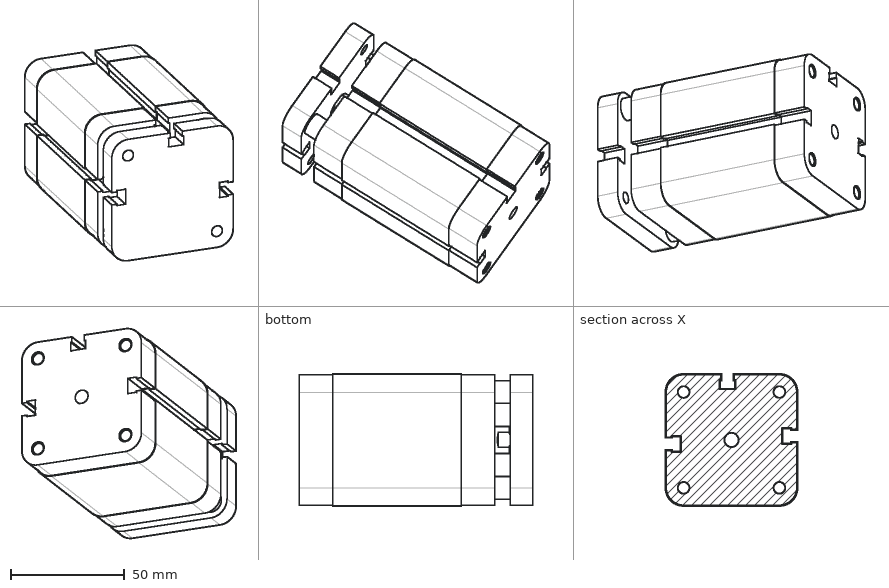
import cadquery as cq

total_length = 102.5
cap_length = 14.8
barrel_length = 56.4
plate_thickness = 9.9
housing_length = 2 * cap_length + barrel_length
plate_start = total_length - plate_thickness

barrel_width = 58.0
cap_inset = 0.3
hole_pitch = 42.0
corner_radius = (barrel_width - hole_pitch) / 2

slot_offset = 1.7
slot_mouth_width = 5.2
slot_inner_width = 6.5
slot_lip_depth = 3.1
slot_depth = 6.5
slot_overshoot = 1.0
slot_sides = (0, 90, 180)

screw_hole_diameter = 5.0
screw_hole_chamfer = 0.5
centre_hole_diameter = 6.2
centre_hole_depth = cap_length

rod_seat_depth = cap_length
rod_start = housing_length - rod_seat_depth
rod_length = plate_start - rod_start
guide_rod_diameter = 10.0
piston_rod_diameter = 12.0
piston_rod_chamfer = 0.5
flat_width = 10.0
flat_length = 5.1
flat_runout = 0.5

half_pitch = hole_pitch / 2
guide_rod_places = [(half_pitch, half_pitch), (-half_pitch, -half_pitch)]
open_hole_places = [(-half_pitch, half_pitch), (half_pitch, -half_pitch)]
screw_hole_places = guide_rod_places + open_hole_places


def section_plane(x):
    """Plane across the part at x, with local axes along Y and Z."""
    return cq.Workplane("YZ", origin=(x, 0, 0))


def cylinders(x, length, diameter, places):
    return section_plane(x).pushPoints(places).circle(diameter / 2).extrude(length)


def profile(x, length, inset):
    """Rounded square bar with three T-slots, every face set in by the inset."""
    half_width = barrel_width / 2 - inset
    bar = section_plane(x).rect(2 * half_width, 2 * half_width).extrude(length)
    bar = bar.edges("|X").fillet(corner_radius - inset)

    mouth_half = slot_mouth_width / 2 + inset
    inner_half = slot_inner_width / 2 + inset
    floor = barrel_width / 2 - slot_depth - inset
    lip = barrel_width / 2 - slot_lip_depth + inset
    outside = barrel_width / 2 + slot_overshoot
    slot = (
        section_plane(x)
        .moveTo(floor, -slot_offset - inner_half)
        .lineTo(lip, -slot_offset - inner_half)
        .lineTo(lip, -slot_offset - mouth_half)
        .lineTo(outside, -slot_offset - mouth_half)
        .lineTo(outside, -slot_offset + mouth_half)
        .lineTo(lip, -slot_offset + mouth_half)
        .lineTo(lip, -slot_offset + inner_half)
        .lineTo(floor, -slot_offset + inner_half)
        .close()
        .extrude(length)
    )
    for turn in slot_sides:
        bar = bar.cut(slot.rotate((0, 0, 0), (1, 0, 0), turn))
    return bar


def make_countersink(place):
    """Chamfer cone at the rear mouth of a screw hole."""
    hole_radius = screw_hole_diameter / 2
    cone = cq.Solid.makeCone(
        hole_radius + screw_hole_chamfer,
        hole_radius,
        screw_hole_chamfer,
        cq.Vector(0, *place),
        cq.Vector(1, 0, 0),
    )
    return cq.Workplane(cone)


def make_housing():
    """One solid: barrel between two caps, with screw holes and seats for the three rods."""
    rear_cap = profile(0, cap_length, cap_inset)
    barrel = profile(cap_length, barrel_length, 0)
    front_cap = profile(cap_length + barrel_length, cap_length, cap_inset)
    housing = rear_cap.union(barrel).union(front_cap)

    housing = housing.cut(cylinders(0, housing_length, screw_hole_diameter, screw_hole_places))
    for place in screw_hole_places:
        housing = housing.cut(make_countersink(place))
    housing = housing.cut(cylinders(0, centre_hole_depth, centre_hole_diameter, [(0, 0)]))

    housing = housing.cut(cylinders(rod_start, rod_seat_depth, guide_rod_diameter, guide_rod_places))
    return housing.cut(cylinders(rod_start, rod_seat_depth, piston_rod_diameter, [(0, 0)]))


def make_plate():
    """Front plate with the cap outline and the two open screw holes."""
    plate = profile(plate_start, plate_thickness, cap_inset)
    return plate.cut(cylinders(plate_start, plate_thickness, screw_hole_diameter, open_hole_places))


def make_piston_rod():
    """Chamfered rod with two wrench flats that run out on a slope."""
    rod = cylinders(rod_start, rod_length, piston_rod_diameter, [(0, 0)])
    rod = rod.faces(">X").chamfer(piston_rod_chamfer)

    rod_radius = piston_rod_diameter / 2
    flat_start = plate_start - flat_length
    flat_cutter = (
        cq.Workplane("XZ")
        .moveTo(flat_start, flat_width / 2)
        .lineTo(plate_start, flat_width / 2)
        .lineTo(plate_start, rod_radius)
        .lineTo(flat_start - flat_runout, rod_radius)
        .close()
        .extrude(rod_radius, both=True)
    )
    return rod.cut(flat_cutter).cut(flat_cutter.mirror("XY"))


def make_guide_rod(place):
    return cylinders(rod_start, rod_length, guide_rod_diameter, [place])


housing = make_housing()
plate = make_plate()
piston_rod = make_piston_rod()
guide_rods = [make_guide_rod(place) for place in guide_rod_places]

result = cq.Compound.makeCompound(
    [housing.val(), plate.val(), piston_rod.val(), *[rod.val() for rod in guide_rods]]
)